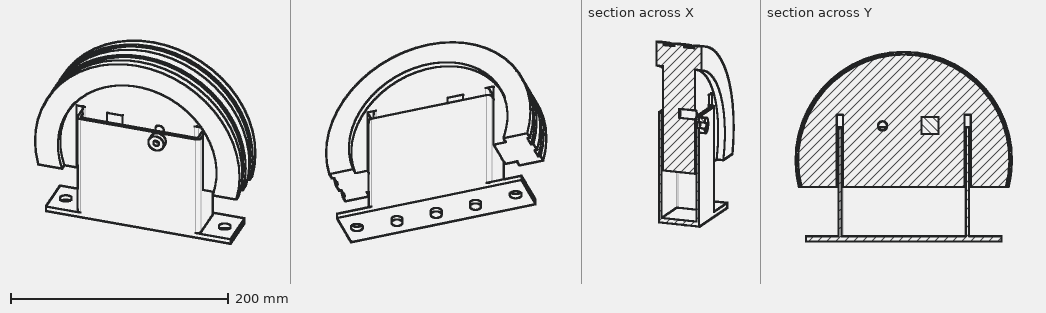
import cadquery as cq


pulley_radius = 99.7
pulley_width = 45.0
pulley_center_z = 75.0
pulley_bottom_z = 50.0
recess_radius = 77.3
recess_depth = 6.5
core_width = pulley_width - 2 * recess_depth
groove_radius = 97.5
groove_width = 10.0
groove_spacing = 20.0

slot_inner_x = 56.5
slot_outer_x = 61.5
slot_top_z = 116.6
tongue_corner_radius = 3.0

plate_length = 180.0
plate_thickness = 5.0
bracket_depth = 40.0
tube_length = 120.2
tube_top_z = 105.3
tube_wall = 3.0
tube_corner_radius = 4.0
mounting_hole_diameter = 11.0
mounting_hole_edge_distance = 12.5
peg_diameter = 10.2
peg_length = 4.0
peg_spacing = 38.3
peg_count = 3

bushing_diameter = 15.0
bushing_length = 6.0
bushing_bore = 5.2
bushing_x = 19.5
bushing_z = 97.3

latch_hole_diameter = 8.2
latch_hole_z = 106.5
latch_hole_depth = core_width / 2

block_size = 15.1
block_x = -24.1
block_top_z = 114.5


def y_cylinder(diameter, length, x, front_y, z):
    """Cylinder along +Y that starts at front_y."""
    plane = cq.Plane(origin=(x, front_y, z), xDir=(-1, 0, 0), normal=(0, 1, 0))
    return cq.Workplane(plane).circle(diameter / 2).extrude(length)


def make_groove(center_y):
    """Ring of material that leaves a rope groove when cut from the rim."""
    front_y = center_y - groove_width / 2
    outer = y_cylinder(2 * pulley_radius, groove_width, 0, front_y, pulley_center_z)
    inner = y_cylinder(2 * groove_radius, groove_width, 0, front_y, pulley_center_z)
    return outer.cut(inner)


def make_block():
    """Square bar as long as the pulley core is wide."""
    return cq.Workplane("XY").box(block_size, core_width, block_size).translate(
        (block_x, 0, block_top_z - block_size / 2)
    )


def make_slots():
    """Rectangular opening around the bracket, less the rounded tongue that fills its middle."""
    height = slot_top_z - pulley_bottom_z
    base = cq.Workplane("XY").workplane(offset=pulley_bottom_z)
    opening = base.rect(2 * slot_outer_x, core_width).extrude(height)
    tongue = base.rect(2 * slot_inner_x, core_width).extrude(height)
    return opening.cut(tongue.edges("|Z").fillet(tongue_corner_radius))


def make_pulley():
    """Half pulley with rope grooves, a recess in each face and room for the bracket and block."""
    front_y = -pulley_width / 2
    body = y_cylinder(2 * pulley_radius, pulley_width, 0, front_y, pulley_center_z)
    below = cq.Workplane("XY").box(
        2 * pulley_radius, pulley_width, 2 * pulley_radius, centered=(True, True, False)
    ).translate((0, 0, pulley_bottom_z - 2 * pulley_radius))
    body = body.cut(below)
    for recess_y in (front_y, core_width / 2):
        body = body.cut(y_cylinder(2 * recess_radius, recess_depth, 0, recess_y, pulley_center_z))
    for side in (-1, 1):
        body = body.cut(make_groove(side * groove_spacing / 2))
    body = body.cut(make_slots())
    body = body.cut(
        y_cylinder(latch_hole_diameter, latch_hole_depth, bushing_x, -core_width / 2, latch_hole_z)
    )
    return body.cut(make_block())


def make_bracket():
    """Base plate with mounting holes, a row of pegs underneath and an open tube on top."""
    plate = cq.Workplane("XY").rect(plate_length, bracket_depth).extrude(plate_thickness)
    tube_base = cq.Workplane("XY").workplane(offset=plate_thickness)
    tube_height = tube_top_z - plate_thickness
    tube = tube_base.rect(tube_length, bracket_depth).extrude(tube_height)
    tube = tube.edges("|Z").fillet(tube_corner_radius)
    cavity = tube_base.rect(tube_length - 2 * tube_wall, bracket_depth - 2 * tube_wall).extrude(tube_height)
    cavity = cavity.edges("|Z").fillet(tube_corner_radius - tube_wall)
    bracket = plate.union(tube.cut(cavity))

    hole_x = plate_length / 2 - mounting_hole_edge_distance
    holes = cq.Workplane("XY").pushPoints([(-hole_x, 0), (hole_x, 0)])
    bracket = bracket.cut(holes.circle(mounting_hole_diameter / 2).extrude(plate_thickness))

    peg_base = cq.Workplane("XY").rarray(peg_spacing, 2, peg_count, 1)
    bracket = bracket.union(peg_base.circle(peg_diameter / 2).extrude(-peg_length))

    return bracket.cut(y_cylinder(bushing_bore, tube_wall, bushing_x, -bracket_depth / 2, bushing_z))


def make_bushing():
    """Ring standing on the front wall of the tube, in line with the hole in that wall."""
    front_y = -bracket_depth / 2 - bushing_length
    bushing = y_cylinder(bushing_diameter, bushing_length, bushing_x, front_y, bushing_z)
    return bushing.cut(y_cylinder(bushing_bore, bushing_length, bushing_x, front_y, bushing_z))


pulley = make_pulley()
block = make_block()
bracket = make_bracket()
bushing = make_bushing()

result = cq.Compound.makeCompound([pulley.val(), block.val(), bracket.val(), bushing.val()])